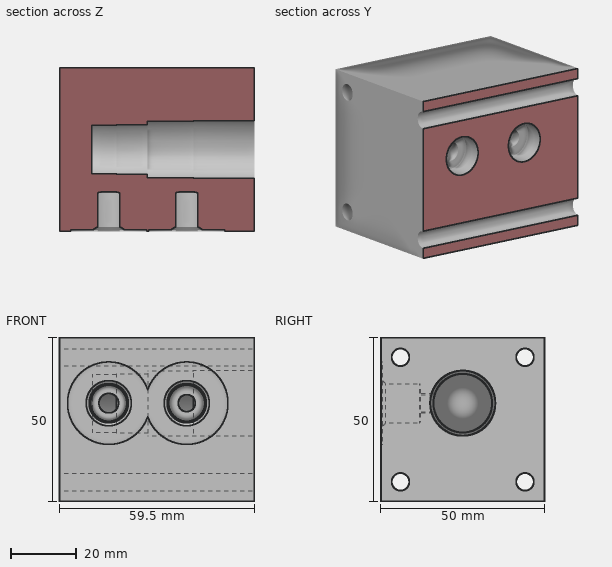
import cadquery as cq

length = 59.5
width = 50.0
height = 50.0

mount_diameter = 5.3
mount_inset = 6.0

port_height = 30.0
first_port_x = 15.1
port_pitch = 23.8
second_port_x = first_port_x + port_pitch
spotface_diameter = 25.2
spotface_depth = 0.5
port_mouth_diameter = 13.8
port_bore_diameter = 12.0
port_floor_diameter = 11.0
port_bevel_height = 0.25
port_depth = 12.0
first_passage_diameter = 6.0
second_passage_diameter = 5.2

cavity_axis_y = width / 2
cavity_floor_x = 10.0
first_step_offset = 2.3
second_step_offset = 2.0
cavity_stages = [
    (17.8, first_port_x + first_step_offset),
    (18.01, (first_port_x + second_port_x) / 2),
    (19.8, second_port_x + second_step_offset),
    (20.01, length),
]


def make_block():
    return cq.Workplane("XY").box(length, width, height, centered=False)


def make_port(x, passage_diameter):
    """Spotface, chamfered bore with bevelled floor, and passage into the cavity."""
    mouth_radius = port_mouth_diameter / 2
    bore_radius = port_bore_diameter / 2
    floor_radius = port_floor_diameter / 2
    passage_radius = passage_diameter / 2
    chamfer_end = spotface_depth + mouth_radius - bore_radius
    bevel_start = port_depth - port_bevel_height
    profile = (
        cq.Workplane("XY")
        .lineTo(spotface_diameter / 2, 0)
        .lineTo(spotface_diameter / 2, spotface_depth)
        .lineTo(mouth_radius, spotface_depth)
        .lineTo(bore_radius, chamfer_end)
        .lineTo(bore_radius, bevel_start)
        .lineTo(floor_radius, port_depth)
        .lineTo(passage_radius, port_depth)
        .lineTo(passage_radius, cavity_axis_y)
        .lineTo(0, cavity_axis_y)
        .close()
    )
    return profile.revolve(360, (0, 0, 0), (0, 1, 0)).translate((x, 0, port_height))


def make_cavity():
    """Coaxial cylinders that widen step by step toward the +X face."""
    cavity = cq.Workplane("YZ")
    start_x = cavity_floor_x
    for diameter, end_x in cavity_stages:
        stage = (
            cq.Workplane("YZ", origin=(start_x, cavity_axis_y, port_height))
            .circle(diameter / 2)
            .extrude(end_x - start_x)
        )
        cavity = cavity.union(stage)
        start_x = end_x
    return cavity


def make_mounting_holes():
    return (
        cq.Workplane("YZ", origin=(0, width / 2, height / 2))
        .rect(width - 2 * mount_inset, height - 2 * mount_inset, forConstruction=True)
        .vertices()
        .circle(mount_diameter / 2)
        .extrude(length)
    )


body = (
    make_block()
    .cut(make_port(first_port_x, first_passage_diameter))
    .cut(make_port(second_port_x, second_passage_diameter))
    .cut(make_cavity())
    .cut(make_mounting_holes())
)

result = cq.Workplane(body.solids().val())